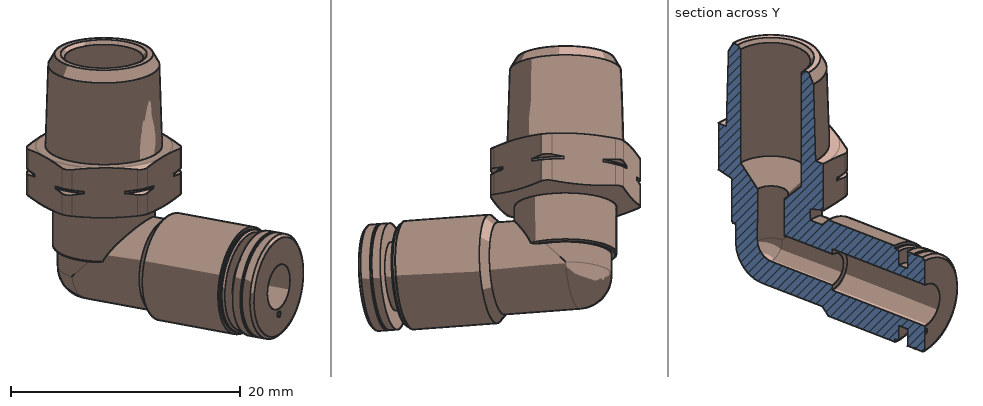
import cadquery as cq
import math


overall_length = 23.45

elbow_radius = 8.07 / 2
bend_inset = 1.0
stem_radius = 8.9 / 2
stem_bottom = 0.91
stem_edge = 0.15

across_flats = 11.91
corner_fillet = 1.0
nut_bottom = 5.1
nut_top = 10.05
nut_chamfer_angle = 14
notch_radius = 6.21
notch_mouth = 0.6
notch_floor = 0.19
notch_z = 7.79

thread_base_radius = 10.18 / 2
thread_end_radius = 9.7 / 2
thread_tip_radius = 8.58 / 2
fitting_top = 18.48
thread_tip_length = 0.98

sleeve_radius = 9.5 / 2
sleeve_start = 5.8
sleeve_end = 14.05
tip_radius = 9.1 / 2
tip_gap = 0.1
tip_gap_depth = 0.07
tip_end = 14.52
tip_chamfer = 0.19
neck_radius = 6.0 / 2
collar_radius = 9.3 / 2
collar_start = 15.45
collar_end = 17.45
collar_chamfer = 0.25
collar_groove_start = 16.2
collar_groove_width = 0.16
collar_groove_depth = 0.07
pip_radius = 0.25
pip_offset = 2.5
pip_height = overall_length - across_flats / 2 - collar_end

passage_radius = 3.0 / 2
thread_bore_radius = 6.85 / 2
thread_mouth_radius = 7.5 / 2
funnel_bottom = nut_bottom
thread_bore_bottom = funnel_bottom + thread_bore_radius - passage_radius
tube_bore_radius = 4.0 / 2
tube_bore_start = 6.96


def turned_z(points):
    """Solid of revolution about Z from (radius, z) points."""
    return cq.Workplane("XZ").polyline(points).close().revolve(360, (0, 0), (0, 1))


def turned_x(points):
    """Solid of revolution about X from (x, radius) points."""
    return cq.Workplane("XZ").polyline(points).close().revolve(360, (0, 0), (1, 0))


def cylinder_z(radius, start, end):
    return cq.Workplane("XY").workplane(offset=start).circle(radius).extrude(end - start)


def cylinder_x(radius, start, end):
    return cq.Workplane("YZ").workplane(offset=start).circle(radius).extrude(end - start)


def make_elbow():
    """Two mitred cylinders whose outer corner is replaced by a rounded bend."""
    r = elbow_radius
    corner = cylinder_z(r, -r, r).intersect(cylinder_x(r, -r, r))
    corner_block = cq.Workplane("XY").box(2 * r, 4 * r, 2 * r).translate(
        (-bend_inset - r, 0, -bend_inset - r)
    )
    half_chord = math.sqrt(r**2 - bend_inset**2)
    bend = (
        cq.Workplane("XY", origin=(0, 0, -bend_inset))
        .moveTo(-bend_inset, -half_chord)
        .threePointArc((-r, 0), (-bend_inset, half_chord))
        .close()
        .revolve(360, (-bend_inset, -0.23), (-bend_inset, 0.23))
        .intersect(corner_block)
    )
    upright = cylinder_z(r, 0, nut_bottom)
    branch = cylinder_x(r, 0, sleeve_start)
    return corner.cut(corner_block).union(bend).union(upright).union(branch)


def make_stem():
    return turned_z([
        (0, stem_bottom - stem_edge),
        (stem_radius - stem_edge, stem_bottom - stem_edge),
        (stem_radius, stem_bottom),
        (stem_radius, nut_bottom),
        (0, nut_bottom),
    ])


def make_nut():
    """Hexagon with flats on +X and -X, coned ends and a notch round its corners."""
    corner_radius = across_flats / math.sqrt(3)
    slope = math.tan(math.radians(nut_chamfer_angle))
    hexagon = (
        cq.Workplane("XY")
        .workplane(offset=nut_bottom)
        .transformed(rotate=(0, 0, 30))
        .polygon(6, 2 * corner_radius)
        .extrude(nut_top - nut_bottom)
        .edges("|Z")
        .fillet(corner_fillet)
    )
    envelope = turned_z([
        (0, nut_bottom),
        (stem_radius, nut_bottom),
        (corner_radius, nut_bottom + (corner_radius - stem_radius) * slope),
        (corner_radius, nut_top - (corner_radius - across_flats / 2) * slope),
        (across_flats / 2, nut_top),
        (0, nut_top),
    ])
    notch = turned_z([
        (notch_radius, notch_z - notch_floor / 2),
        (corner_radius, notch_z - notch_mouth / 2),
        (corner_radius, notch_z + notch_mouth / 2),
        (notch_radius, notch_z + notch_floor / 2),
    ])
    return hexagon.intersect(envelope).cut(notch)


def make_thread():
    return turned_z([
        (0, nut_top),
        (thread_base_radius, nut_top),
        (thread_end_radius, fitting_top - thread_tip_length),
        (thread_tip_radius, fitting_top),
        (0, fitting_top),
    ])


def make_socket():
    """Sleeve, tip ring, neck and release collar, turned about the tube axis."""
    sleeve_chamfer = sleeve_radius - elbow_radius
    groove_end = collar_groove_start + collar_groove_width
    groove_radius = collar_radius - collar_groove_depth
    socket = turned_x([
        (sleeve_start, 0),
        (sleeve_start, elbow_radius),
        (sleeve_start + sleeve_chamfer, sleeve_radius),
        (sleeve_end, sleeve_radius),
        (sleeve_end, tip_radius - tip_gap_depth),
        (sleeve_end + tip_gap, tip_radius - tip_gap_depth),
        (sleeve_end + tip_gap, tip_radius),
        (tip_end - tip_chamfer, tip_radius),
        (tip_end, tip_radius - tip_chamfer),
        (tip_end, neck_radius),
        (collar_start, neck_radius),
        (collar_start, collar_radius),
        (collar_groove_start, collar_radius),
        (collar_groove_start, groove_radius),
        (groove_end, groove_radius),
        (groove_end, collar_radius),
        (collar_end - collar_chamfer, collar_radius),
        (collar_end, collar_radius - collar_chamfer),
        (collar_end, 0),
    ])
    pip = cylinder_x(pip_radius, collar_end, collar_end + pip_height).translate((0, 0, -pip_offset))
    return socket.union(pip)


def make_passage():
    """Funnelled thread bore joined to the tube bore by a ball-cornered passage."""
    mouth_depth = thread_mouth_radius - thread_bore_radius
    thread_bore = turned_z([
        (0, 0),
        (passage_radius, 0),
        (passage_radius, funnel_bottom),
        (thread_bore_radius, thread_bore_bottom),
        (thread_bore_radius, fitting_top - mouth_depth),
        (thread_mouth_radius, fitting_top),
        (0, fitting_top),
    ])
    ball = cq.Workplane("XY").sphere(passage_radius)
    branch = cylinder_x(passage_radius, 0, tube_bore_start)
    tube_bore = cylinder_x(tube_bore_radius, tube_bore_start, collar_end)
    return thread_bore.union(ball).union(branch).union(tube_bore)


body = make_elbow().union(make_stem()).union(make_nut()).union(make_thread()).union(make_socket())
result = body.cut(make_passage())